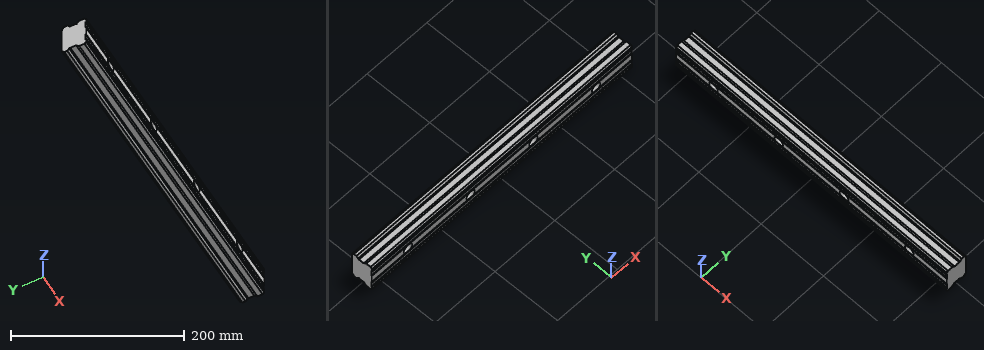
import cadquery as cq

length = 435.0
depth = 32.0
height = 45.0
front = -depth / 2
back = depth / 2
half_height = height / 2

foot_chamfer = 2.0
foot_top_end = 9.0
neck_start = 13.0
neck_half_height = 19.0

neck_end = 21.0
head_flank_foot = 22.0
head_flank_rise = 0.65
head_top_start = 25.0
head_chamfer = 3.5

groove_depth = 1.0
groove_inner = 7.0
groove_outer = 15.0

hole_diameter = 14.0
hole_pitch = 105.0
hole_count = 4


def make_rail():
    upper_outline = [
        (front, groove_inner),
        (front + groove_depth, groove_inner),
        (front + groove_depth, groove_outer),
        (front, groove_outer),
        (front, half_height - foot_chamfer),
        (front + foot_chamfer, half_height),
        (front + foot_top_end, half_height),
        (front + neck_start, neck_half_height),
        (front + neck_end, neck_half_height),
        (front + head_flank_foot, neck_half_height + head_flank_rise),
        (front + head_top_start, half_height),
        (back - head_chamfer, half_height),
        (back, half_height - head_chamfer),
    ]
    lower_outline = [(y, -z) for y, z in reversed(upper_outline)]
    section = cq.Workplane("YZ", origin=(-length / 2, 0, 0)).polyline(upper_outline + lower_outline)
    return section.close().extrude(length)


def make_holes():
    return (
        cq.Workplane("XZ", origin=(0, back, 0))
        .rarray(hole_pitch, 4.5, hole_count, 1)
        .circle(hole_diameter / 2)
        .extrude(depth)
    )


result = make_rail().cut(make_holes())